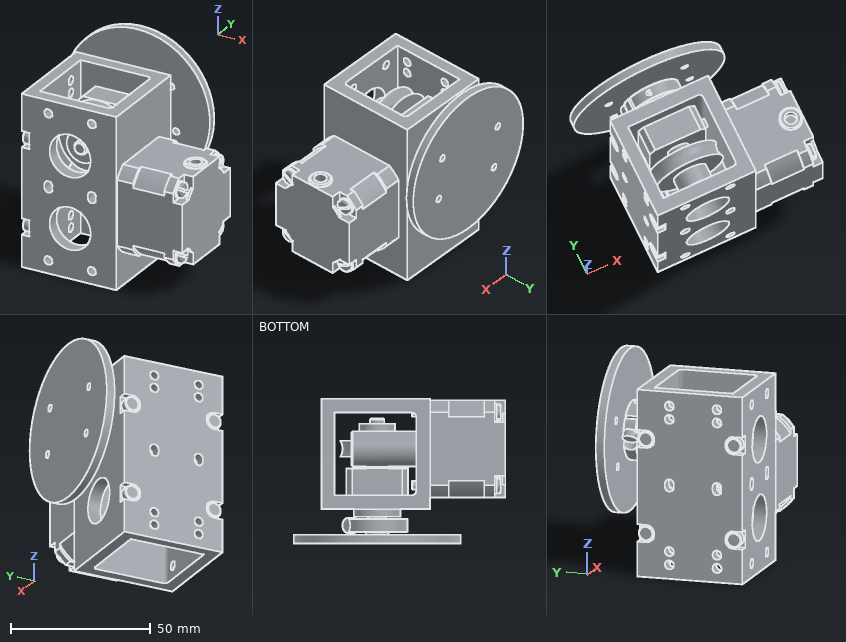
import cadquery as cq
import math

FRAME_X = 39.0
FRAME_Y = 39.6
FRAME_Z = 69.0
PLATE_T = 4.7
WALL_T = 5.05
CAVITY_FILLET = 1.6
CAVITY_X = FRAME_X - WALL_T
MID_Z = FRAME_Z / 2

HOLE_D = 3.3
SLOT_LENGTH = 4.5
HOLE_PITCH = 17.9
HOLE_RISE = 29.3
PLATE_INNER_RISE = 24.4
PLATE_HOLE_Y = 18.55

SHAFT_X = 20.0
SHAFT_Z = 48.95
BORE_R = 8.45
LOWER_BORE_Z = 2 * MID_Z - SHAFT_Z
SHAFT_R = 2.6
SHAFT_START_Y = 6.95
SHAFT_CHAMFER = 0.55

DISC_R = 30.0
DISC_T = 3.2
TOTAL_Y = 52.0
DISC_Y = TOTAL_Y - DISC_T
DISC_HOLE_D = 2.6
DISC_HOLE_CIRCLE_R = 17.5
DISC_HOLE_TILT = 6.6
DISC_HOLE_ANGLES = (30, 150, 210, 330)

BLOCK_SIZE = 22.3
BLOCK_CHAMFER = 2.1
BLOCK_Y = 25.0
FLANGE_T = 2.8
SPACER_R = 4.1
NECK_R = 3.3

AXIS_Y = 18.0
AXIS_Z = 30.6
WORM_R = 6.4
WORM_START_X = 10.7
WORM_CHAMFER = 0.55

WHEEL_R = 13.3
WHEEL_T = 5.85
WHEEL_GROOVE = 0.8
HUB_R = 6.5
HUB_LENGTH = 6.1

COLLAR_R = 10.9
COLLAR_Y = 43.0
COLLAR_W = 4.9
COLLAR_CHAMFER = 0.2
COLLAR_GAP = 1.2
CLAMP_ANGLE = 52
CLAMP_OFFSET = 7.6
CLAMP_SEAT = 4.35
CLAMP_HEAD_R = 2.8
CLAMP_HEAD_LENGTH = 2.8
CLAMP_SEAT_R = 3.0
CLAMP_TIP_R = 1.0
CLAMP_TIP = 7.9

MOTOR_SIZE = 35.0
MOTOR_FRONT_END = 45.6
MOTOR_BODY_END = 58.4
MOTOR_END = 65.9
MOTOR_END_CORNER_R = 21.9
MOTOR_BODY_CORNER_R = 20.9
MOTOR_SCREW_OFFSET = 13.0
NOTCH_SIZE = 7.9
NOTCH_DEPTH = 3.8
REAR_DISC_R = 16.0
REAR_DISC_T = 0.95
WASHER_R = 3.1
WASHER_T = 0.6
PAN_R = 2.9
PAN_T = 1.5
PAN_FILLET = 0.6
DRIVE_SLOT_W = 0.9
DRIVE_SLOT_ANGLE = 30
TIP_R = 1.6
TIP_LENGTH = 1.6
TIP_CHAMFER = 0.3
PORT_X = 61.5
PORT_R = 4.2
PORT_HEIGHT = 0.9
PORT_CHAMFER = 0.55
PORT_HOLE_R = 2.3
PORT_HOLE_DEPTH = 3.95

POCKET_R = 3.2
POCKET_DEPTH = 3.2
POCKET_EDGE = 3.2
POCKET_ROWS = (16.1, 50.9)
HEAD_R = 2.8
HEAD_CHAMFER = 0.3


def x_cylinder(radius, start, end, y=AXIS_Y, z=AXIS_Z):
    return cq.Workplane("YZ", origin=(start, y, z)).circle(radius).extrude(end - start)


def y_cylinder(radius, start, end, x=SHAFT_X, z=SHAFT_Z):
    return cq.Workplane("XZ", origin=(x, start, z)).circle(radius).extrude(start - end)


def x_box(start, end, size, y=AXIS_Y, z=AXIS_Z):
    return cq.Workplane("YZ", origin=(start, y, z)).rect(size, size).extrude(end - start)


def make_frame():
    frame = cq.Workplane("XY").box(FRAME_X, FRAME_Y, FRAME_Z, centered=False)
    cavity = (
        cq.Workplane("XY")
        .box(CAVITY_X - PLATE_T, FRAME_Y - 2 * WALL_T, FRAME_Z, centered=False)
        .edges("|Z and >X")
        .fillet(CAVITY_FILLET)
        .translate((PLATE_T, WALL_T, 0))
    )
    frame = frame.cut(cavity)

    frame = frame.cut(y_cylinder(BORE_R, 0, FRAME_Y, z=LOWER_BORE_Z))
    frame = frame.cut(y_cylinder(BORE_R, 0, WALL_T))

    columns = [(side * HOLE_PITCH / 2, 0) for side in (-1, 1)]
    rows = [(x, rise) for x, _ in columns for rise in (-HOLE_RISE, HOLE_RISE)]
    front = cq.Workplane("XZ", origin=(SHAFT_X, 0, MID_Z))
    frame = frame.cut(front.pushPoints(rows).circle(HOLE_D / 2).extrude(-WALL_T))
    frame = frame.cut(front.pushPoints(columns).slot2D(SLOT_LENGTH, HOLE_D, 90).extrude(-WALL_T))

    rises = (-HOLE_RISE, -PLATE_INNER_RISE, PLATE_INNER_RISE, HOLE_RISE)
    rows = [(y, rise) for y, _ in columns for rise in rises]
    side = cq.Workplane("YZ", origin=(0, PLATE_HOLE_Y, MID_Z))
    frame = frame.cut(side.pushPoints(rows).circle(HOLE_D / 2).extrude(PLATE_T))
    return frame.cut(side.pushPoints(columns).slot2D(SLOT_LENGTH, HOLE_D, 90).extrude(PLATE_T))


def add_plate_screws(frame):
    """Cut U pockets open to the plate edges, each holding a screw head."""
    for row_z in POCKET_ROWS:
        for center_y, edge_y in ((POCKET_EDGE, 0), (FRAME_Y - POCKET_EDGE, FRAME_Y)):
            opening = cq.Workplane("YZ", origin=(0, (center_y + edge_y) / 2, row_z))
            frame = frame.cut(opening.rect(POCKET_EDGE, 2 * POCKET_R).extrude(POCKET_DEPTH))
            frame = frame.cut(x_cylinder(POCKET_R, 0, POCKET_DEPTH, center_y, row_z))
            head = x_cylinder(HEAD_R, 0, POCKET_DEPTH, center_y, row_z)
            frame = frame.union(head.faces("<X").chamfer(HEAD_CHAMFER))
    return frame


def make_disc():
    disc = y_cylinder(DISC_R, DISC_Y, TOTAL_Y)
    for angle_deg in DISC_HOLE_ANGLES:
        angle = math.radians(angle_deg + DISC_HOLE_TILT)
        hole_x = SHAFT_X + DISC_HOLE_CIRCLE_R * math.cos(angle)
        hole_z = SHAFT_Z + DISC_HOLE_CIRCLE_R * math.sin(angle)
        disc = disc.cut(y_cylinder(DISC_HOLE_D / 2, DISC_Y, TOTAL_Y, hole_x, hole_z))
    return disc


def make_bearing():
    block_back = FRAME_Y - WALL_T
    block = (
        cq.Workplane("XZ", origin=(SHAFT_X, BLOCK_Y, SHAFT_Z))
        .rect(BLOCK_SIZE, BLOCK_SIZE)
        .extrude(BLOCK_Y - block_back)
        .edges("|Y")
        .chamfer(BLOCK_CHAMFER)
    )
    return block.union(y_cylinder(BORE_R, block_back, FRAME_Y + FLANGE_T))


def make_wheel():
    """Worm wheel with a concave rim, and its hub on the -Y side."""
    front = AXIS_Y - WHEEL_T / 2
    back = AXIS_Y + WHEEL_T / 2
    wheel = (
        cq.Workplane("XY")
        .moveTo(0, front)
        .lineTo(WHEEL_R, front)
        .threePointArc((WHEEL_R - WHEEL_GROOVE, AXIS_Y), (WHEEL_R, back))
        .lineTo(0, back)
        .close()
        .revolve(360, (0, 0, 0), (0, 1, 0))
        .translate((SHAFT_X, 0, SHAFT_Z))
    )
    return wheel.union(y_cylinder(HUB_R, front - HUB_LENGTH, front))


def make_shaft():
    shaft = y_cylinder(SHAFT_R, SHAFT_START_Y, BLOCK_Y).faces("<Y").chamfer(SHAFT_CHAMFER)
    shaft = shaft.union(y_cylinder(SPACER_R, AXIS_Y, BLOCK_Y))
    shaft = shaft.union(y_cylinder(NECK_R, FRAME_Y, COLLAR_Y))
    return shaft.union(y_cylinder(SPACER_R, COLLAR_Y + COLLAR_W, DISC_Y))


def make_collar():
    """Split collar whose clamp screw crosses the gap at a tilt."""
    collar_end = COLLAR_Y + COLLAR_W
    mid_y = COLLAR_Y + COLLAR_W / 2
    collar = y_cylinder(COLLAR_R, COLLAR_Y, collar_end).edges().chamfer(COLLAR_CHAMFER)

    tilt = math.radians(CLAMP_ANGLE)
    clamp = cq.Plane(
        origin=(SHAFT_X, mid_y, SHAFT_Z),
        xDir=(-math.sin(tilt), 0, math.cos(tilt)),
        normal=(-math.cos(tilt), 0, -math.sin(tilt)),
    )

    def along_screw(radius, start, end):
        base = cq.Workplane(clamp).workplane(offset=start)
        return base.center(CLAMP_OFFSET, 0).circle(radius).extrude(end - start)

    gap_length = COLLAR_R - NECK_R
    gap = (
        cq.Workplane(clamp)
        .center(NECK_R + gap_length / 2, 0)
        .rect(gap_length, COLLAR_W)
        .extrude(COLLAR_GAP / 2, both=True)
    )
    head_end = CLAMP_SEAT + CLAMP_HEAD_LENGTH
    return (
        collar.cut(gap)
        .cut(along_screw(CLAMP_SEAT_R, CLAMP_SEAT, COLLAR_R))
        .union(along_screw(CLAMP_TIP_R, -CLAMP_TIP, CLAMP_SEAT))
        .union(along_screw(CLAMP_HEAD_R, CLAMP_SEAT, head_end))
    )


def make_motor():
    sections = (
        (FRAME_X, MOTOR_FRONT_END, MOTOR_END_CORNER_R),
        (MOTOR_FRONT_END, MOTOR_BODY_END, MOTOR_BODY_CORNER_R),
        (MOTOR_BODY_END, MOTOR_END, MOTOR_END_CORNER_R),
    )
    motor = x_cylinder(WORM_R, WORM_START_X, FRAME_X).faces("<X").chamfer(WORM_CHAMFER)
    for start, end, corner_r in sections:
        motor = motor.union(x_box(start, end, MOTOR_SIZE).intersect(x_cylinder(corner_r, start, end)))

    corners = [(side_y, side_z) for side_y in (-1, 1) for side_z in (-1, 1)]
    notch_x = MOTOR_END - NOTCH_DEPTH
    notch_offset = (MOTOR_SIZE - NOTCH_SIZE) / 2
    for side_y, side_z in corners:
        notch_y = AXIS_Y + side_y * notch_offset
        notch_z = AXIS_Z + side_z * notch_offset
        motor = motor.cut(x_box(notch_x, MOTOR_END, NOTCH_SIZE, notch_y, notch_z))
    motor = motor.union(x_cylinder(REAR_DISC_R, MOTOR_END - REAR_DISC_T, MOTOR_END))

    for side_y, side_z in corners:
        y = AXIS_Y + side_y * MOTOR_SCREW_OFFSET
        z = AXIS_Z + side_z * MOTOR_SCREW_OFFSET
        washer_end = notch_x + WASHER_T
        pan = x_cylinder(PAN_R, washer_end, washer_end + PAN_T, y, z).faces(">X").edges().fillet(PAN_FILLET)
        slot = (
            cq.Workplane("YZ", origin=(washer_end, y, z))
            .transformed(rotate=(0, 0, side_y * DRIVE_SLOT_ANGLE))
            .rect(2 * PAN_R, DRIVE_SLOT_W)
            .extrude(PAN_T)
        )
        tip = x_cylinder(TIP_R, CAVITY_X - TIP_LENGTH, FRAME_X, y, z).faces("<X").chamfer(TIP_CHAMFER)
        motor = motor.union(x_cylinder(WASHER_R, notch_x, washer_end, y, z)).union(pan.cut(slot)).union(tip)

    top = cq.Workplane("XY", origin=(PORT_X, AXIS_Y, AXIS_Z + MOTOR_SIZE / 2))
    port = top.circle(PORT_R).extrude(PORT_HEIGHT).faces(">Z").chamfer(PORT_CHAMFER)
    port_hole = top.workplane(offset=PORT_HEIGHT).circle(PORT_HOLE_R).extrude(-PORT_HOLE_DEPTH)
    return motor.union(port).cut(port_hole)


result = add_plate_screws(make_frame())
for component in (make_bearing(), make_shaft(), make_wheel(), make_collar(), make_disc(), make_motor()):
    result = result.union(component)